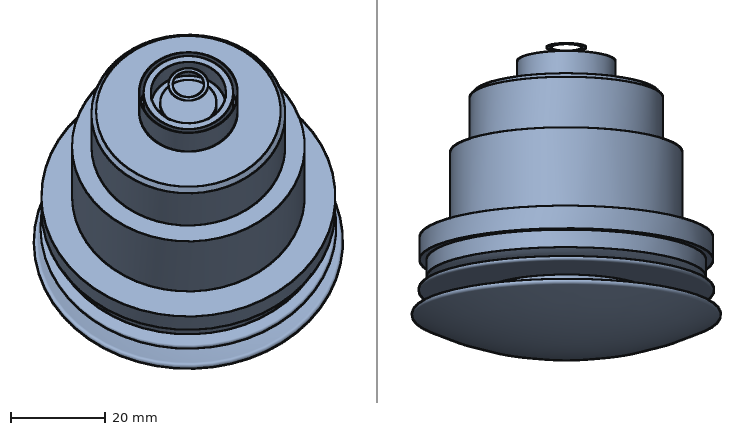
import cadquery as cq
import math


flange_diameter = 62.5
spigot_diameter = 59.5
barrel_diameter = 49.5
neck_diameter = 41.2
neck_chamfer = 1.0
underside_z = 14.75
underside_diameter = 51.85
spigot_z = 16.4
underside_bulge = 0.25
flange_z = 20.2
flange_height = 4.9
barrel_height = 18.5
neck_height = 12.9
barrel_z = flange_z + flange_height
neck_z = barrel_z + barrel_height
shoulder_z = neck_z + neck_height

socket_diameter = 21.0
socket_height = 6.9
seat_depth = 2
socket_skin = 0.05
sleeve_outer_diameter = 19.0
sleeve_inner_diameter = 15.95
recess_depth = 5.1
pedestal_diameter = 12
pedestal_height = 1.3

ring_outer_diameter = 8.45
ring_inner_diameter = 6.65
ring_thickness = 0.05
ring_top_z = 66.5

cap_diameter = 65.75
cap_rim_radius = 0.65
cap_rim_z = 8.3
stem_diameter = 35.0
lip_diameter = 62.9
lip_rim_radius = 0.5
lip_rim_z = 13.7


def disc(diameter, height, z):
    """Solid cylinder on the Z axis standing on height z."""
    return cq.Workplane("XY").workplane(offset=z).circle(diameter / 2).extrude(height)


def tube(outer_diameter, inner_diameter, height, z):
    """Ring-shaped cylinder on the Z axis standing on height z."""
    return disc(outer_diameter, height, z).cut(disc(inner_diameter, height, z))


def turned(profile):
    """Full revolution about Z of a closed half-section drawn in the XZ plane."""
    return profile.close().revolve(360, (0, 0, 0), (0, 1, 0))


def make_spigot():
    """Lower spigot of the housing, with a rounded edge leading to the flat underside."""
    outer = spigot_diameter / 2
    inner = underside_diameter / 2
    bulge_point = ((outer + inner) / 2 + underside_bulge, (spigot_z + underside_z) / 2 - underside_bulge)
    return turned(
        cq.Workplane("XZ")
        .moveTo(0, underside_z)
        .lineTo(inner, underside_z)
        .threePointArc(bulge_point, (outer, spigot_z))
        .lineTo(outer, flange_z)
        .lineTo(0, flange_z)
    )


def make_housing():
    """Stepped body: spigot, flange, barrel and chamfered neck with a seat for the socket."""
    neck = disc(neck_diameter, neck_height, neck_z).faces(">Z").chamfer(neck_chamfer)
    return (
        make_spigot()
        .union(disc(flange_diameter, flange_height, flange_z))
        .union(disc(barrel_diameter, barrel_height, barrel_z))
        .union(neck)
        .cut(disc(socket_diameter, seat_depth, shoulder_z - seat_depth))
    )


def make_socket():
    """Cup with a pedestal on its floor and a groove between its sleeve and its thin outer skin."""
    top_z = shoulder_z + socket_height
    floor_z = top_z - recess_depth
    body = disc(socket_diameter, socket_height + seat_depth, shoulder_z - seat_depth)
    groove_diameter = socket_diameter - 2 * socket_skin
    groove = tube(groove_diameter, sleeve_outer_diameter, socket_height, shoulder_z)
    recess = tube(sleeve_inner_diameter, pedestal_diameter, recess_depth, floor_z)
    pedestal_clearance = disc(pedestal_diameter, recess_depth - pedestal_height, floor_z + pedestal_height)
    return body.cut(groove).cut(recess).cut(pedestal_clearance)


def make_contact_ring():
    """Thin flat ring."""
    return tube(ring_outer_diameter, ring_inner_diameter, ring_thickness, ring_top_z - ring_thickness)


def make_button():
    """Spherical cap shell, hollow side up with a fully rounded rim, carrying a stem and a round-edged lip."""
    cap_rim_center = cap_diameter / 2 - cap_rim_radius
    rise = cap_rim_z - cap_rim_radius
    middle_radius = (cap_rim_center**2 + rise**2) / (2 * rise)
    sphere_z = middle_radius + cap_rim_radius
    outer_radius = middle_radius + cap_rim_radius
    inner_radius = middle_radius - cap_rim_radius
    rim_angle = math.asin(cap_rim_center / middle_radius)
    stem_angle = math.asin(stem_diameter / 2 / inner_radius)
    cap_rim_tip = (
        cap_rim_center + cap_rim_radius * math.cos(rim_angle),
        cap_rim_z + cap_rim_radius * math.sin(rim_angle),
    )
    lip_rim_center = lip_diameter / 2 - lip_rim_radius
    lip_bottom_z = lip_rim_z - lip_rim_radius

    def on_sphere(radius, angle):
        return radius * math.sin(angle), sphere_z - radius * math.cos(angle)

    return turned(
        cq.Workplane("XZ")
        .moveTo(0, 0)
        .threePointArc(on_sphere(outer_radius, rim_angle / 2), on_sphere(outer_radius, rim_angle))
        .threePointArc(cap_rim_tip, on_sphere(inner_radius, rim_angle))
        .threePointArc(
            on_sphere(inner_radius, (rim_angle + stem_angle) / 2),
            on_sphere(inner_radius, stem_angle),
        )
        .lineTo(stem_diameter / 2, lip_bottom_z)
        .lineTo(lip_rim_center, lip_bottom_z)
        .threePointArc((lip_diameter / 2, lip_rim_z), (lip_rim_center, lip_rim_z + lip_rim_radius))
        .lineTo(underside_diameter / 2, underside_z)
        .lineTo(0, underside_z)
    )


housing = make_housing()
socket = make_socket()
contact_ring = make_contact_ring()
button = make_button()

result = cq.Compound.makeCompound(
    [housing.val(), socket.val(), contact_ring.val(), button.val()]
)